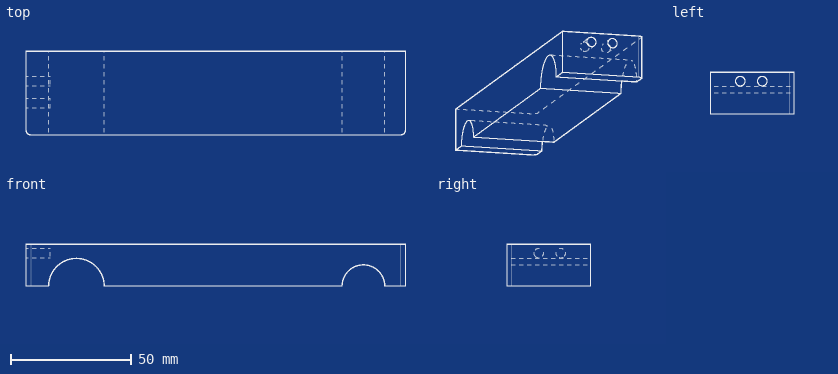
import cadquery as cq

length = 158.1
width = 35.0
height = 17.5
corner_radius = 2.0

large_notch_x = 21.0
large_notch_radius = 11.5
small_notch_x = 140.5
small_notch_radius = 8.9

hole_diameter = 4.0
hole_spacing = 9.2
hole_pair_y = 17.9
hole_drop = 3.8
hole_depth = 10.0


def cross_notch(x, radius):
    """Cylinder along Y, centred on the underside."""
    return cq.Workplane("XZ").center(x, 0).circle(radius).extrude(-width)


def end_hole(y):
    """Cylinder along X, starting at the left end."""
    z = height - hole_drop
    return cq.Workplane("YZ").center(y, z).circle(hole_diameter / 2).extrude(hole_depth)


bar = cq.Workplane("XY").box(length, width, height, centered=False)
bar = bar.faces("<Y").edges("|Z").fillet(corner_radius)

bar = bar.cut(cross_notch(large_notch_x, large_notch_radius))
bar = bar.cut(cross_notch(small_notch_x, small_notch_radius))

for side in (-1, 1):
    bar = bar.cut(end_hole(hole_pair_y + side * hole_spacing / 2))

result = bar